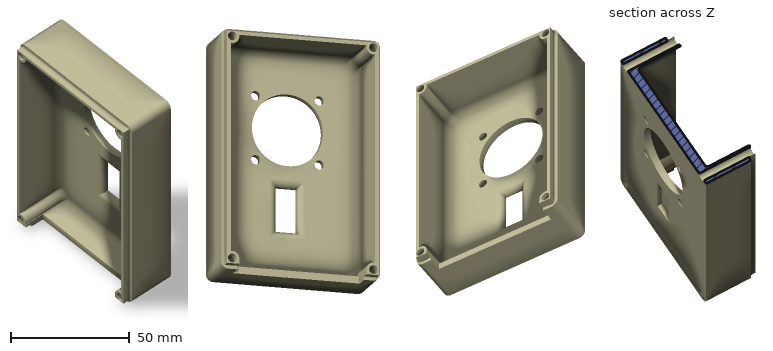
import cadquery as cq


width = 70.0
height = 105.0
depth = 25.4
lip_depth = 3.3
lip_inset = 1.6
corner_radius = 3.2

wall = 3.2
floor_thickness = 3.2
cavity_fillet = 3.2

post_inset = 3.9
post_radius = 3.0
post_hole_diameter = 3.8

dial_diameter = 31.4
dial_z = 15.8
dial_screw_diameter = 4.0
dial_screw_spacing = 28.0

window_width = 8.9
window_height = 19.1
window_z = -18.8
window_land = 0.01

notch_width = 56.0
notch_depth = 9.6

front_y = -depth / 2
back_y = depth / 2
lip_back_y = front_y + lip_depth
floor_y = back_y - floor_thickness
window_rounding = floor_thickness - window_land

post_centres = [
    (side * (width / 2 - post_inset), end * (height / 2 - post_inset))
    for side in (-1, 1)
    for end in (-1, 1)
]
dial_screw_centres = [
    (side * dial_screw_spacing / 2, dial_z + end * dial_screw_spacing / 2)
    for side in (-1, 1)
    for end in (-1, 1)
]


def plane_at(y):
    """XZ workplane at depth y, with its normal toward the open front (-Y)."""
    return cq.Workplane("XZ", origin=(0, y, 0))


def block(size_x, size_z, y_start, y_end, z=0):
    """Box centred on x = 0 and the given z, running forward from y_start to y_end."""
    return plane_at(y_start).center(0, z).rect(size_x, size_z).extrude(y_start - y_end)


def cylinders(centres, diameter, y_start, y_end):
    """Equal cylinders along Y at the given (x, z) centres."""
    return plane_at(y_start).pushPoints(centres).circle(diameter / 2).extrude(y_start - y_end)


def outer_body():
    """Rounded case block with a square-cornered locating lip on its front."""
    body = block(width, height, back_y, lip_back_y).edges("|Y").fillet(corner_radius)
    lip = block(width - 2 * lip_inset, height - 2 * lip_inset, floor_y, front_y)
    return body.union(lip)


def cavity():
    """Inner space around the screw posts, with its edge against the floor filleted."""
    space = block(width - 2 * wall, height - 2 * wall, floor_y, front_y)
    space = space.cut(cylinders(post_centres, 2 * post_radius, floor_y, front_y))
    return space.faces(">Y").edges().fillet(cavity_fillet)


def bottom_notch():
    """Cutter that lowers the front of the bottom wall between the posts."""
    return block(notch_width, 2 * wall, front_y + notch_depth, front_y, z=-height / 2)


case = outer_body().cut(cavity()).cut(bottom_notch())

case = case.cut(block(window_width, window_height, back_y, floor_y, window_z))
window_rim = cq.selectors.BoxSelector(
    (-window_width, floor_y - window_rounding / 2, window_z - window_height),
    (window_width, floor_y + window_rounding / 2, window_z + window_height),
)
case = case.edges(window_rim).edges("not |Y").fillet(window_rounding)

case = case.cut(cylinders([(0, dial_z)], dial_diameter, back_y, floor_y))
case = case.cut(cylinders(dial_screw_centres, dial_screw_diameter, back_y, floor_y))
result = case.cut(cylinders(post_centres, post_hole_diameter, back_y, front_y))